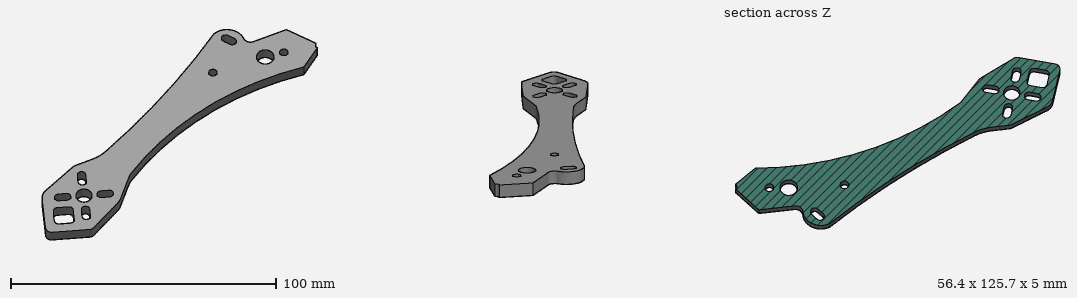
import cadquery as cq
import math

thickness = 5.0
arm_top = 104.6
arm_right = 42.6

mount_tilt = 35.0
motor_bore = 6.0
motor_slot_count = 4
motor_slot_radius = 8.0
motor_slot_length = 6.2
slot_width = 3.1
window_size = 7.5
window_corner = 1.6
window_offset = 8.4
tip_edge_distance = 15.8

screw_diameter = 3.1
screw_centers = [(32.7, 95.0), (14.1, 73.6)]
frame_bore = 6.5
frame_bore_center = (27.7, 89.7)
ear_slot_center = (11.8, 89.8)
ear_slot_length = 6.0
notch_radius = 1.5

tilt = math.radians(mount_tilt)
tip = (
    tip_edge_distance * (math.sin(tilt) - math.cos(tilt)),
    -tip_edge_distance * (math.sin(tilt) + math.cos(tilt)),
)
mount_right_low = (10.5, -12.1)
mount_right_high = (13.0, 4.4)
neck_right = (10.3, 16.9)
frame_right_low = (arm_right, 92.8)
frame_top_left = (28.3, arm_top)
ear_left = (5.5, 89.3)
neck_left = (-3.8, 18.7)
mount_left_high = (-10.0, 10.0)
mount_left_low = (-14.2, -7.3)

right_side_middle = (18.1, 53.8)
valley_start = (20.5, 93.9)
valley_bottom = (18.5, 92.5)
valley_end = (16.1, 93.3)
ear_crest = (8.2, 93.2)
left_side_middle = (3.3, 56.8)

rounded_corners = [
    (tip, 2.4),
    (mount_right_low, 2.0),
    (mount_right_high, 5.0),
    (neck_right, 5.0),
    (neck_left, 16.3),
    (mount_left_high, 3.8),
    (mount_left_low, 4.8),
]


def make_plate():
    plate = (
        cq.Workplane("XY")
        .moveTo(*tip)
        .lineTo(*mount_right_low)
        .lineTo(*mount_right_high)
        .lineTo(*neck_right)
        .threePointArc(right_side_middle, frame_right_low)
        .lineTo(arm_right, arm_top)
        .lineTo(*frame_top_left)
        .lineTo(*valley_start)
        .threePointArc(valley_bottom, valley_end)
        .threePointArc(ear_crest, ear_left)
        .threePointArc(left_side_middle, neck_left)
        .lineTo(*mount_left_high)
        .lineTo(*mount_left_low)
        .close()
        .extrude(thickness)
    )
    for corner, radius in rounded_corners:
        edge = cq.selectors.NearestToPointSelector((*corner, thickness / 2))
        plate = plate.edges("|Z").edges(edge).fillet(radius)
    return plate


def round_holes(centers, diameter):
    return cq.Workplane("XY").pushPoints(centers).circle(diameter / 2).extrude(thickness)


def make_motor_cutouts():
    bore = round_holes([(0, 0)], motor_bore)
    slots = (
        cq.Workplane("XY")
        .polarArray(motor_slot_radius, 0, 360, motor_slot_count)
        .slot2D(motor_slot_length, slot_width)
        .extrude(thickness)
    )
    window = (
        cq.Workplane("XY")
        .center(-window_offset, -window_offset)
        .rect(window_size, window_size)
        .extrude(thickness)
        .edges("|Z")
        .fillet(window_corner)
    )
    pattern = bore.union(slots).union(window)
    return pattern.rotate((0, 0, 0), (0, 0, 1), mount_tilt)


def make_frame_cutouts():
    screws = round_holes(screw_centers, screw_diameter)
    bore = round_holes([frame_bore_center], frame_bore)
    ear_slot = (
        cq.Workplane("XY")
        .center(*ear_slot_center)
        .slot2D(ear_slot_length, slot_width)
        .extrude(thickness)
    )
    notch = round_holes([(arm_right, arm_top)], 2 * notch_radius)
    return screws.union(bore).union(ear_slot).union(notch)


result = make_plate().cut(make_motor_cutouts()).cut(make_frame_cutouts())